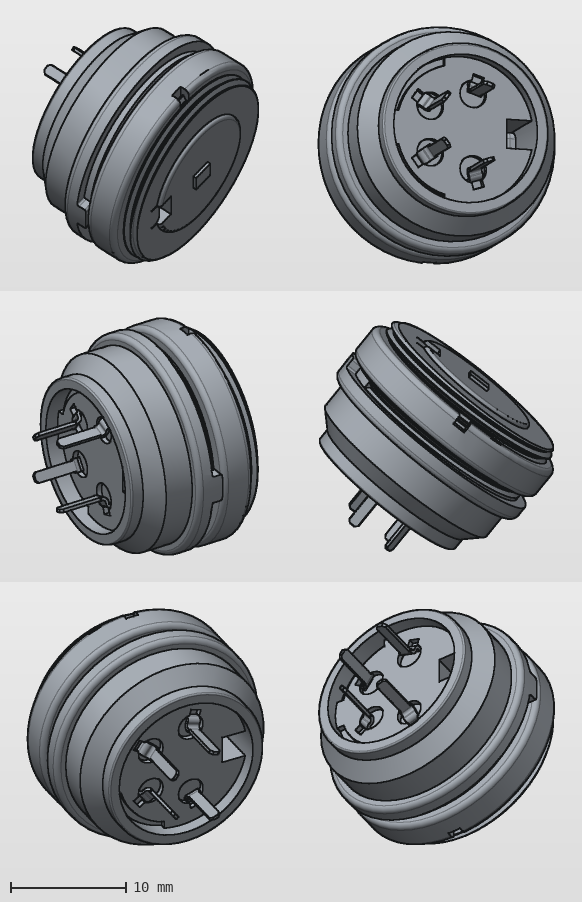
import cadquery as cq


collar_diameter = 15.1
collar_length = 1.2
rim_round = 0.15
body_diameter = 18.0
cone_length = (body_diameter - collar_diameter) / 2
flange_diameter = 20.0
flange_start = 5.3
flange_end = 6.8
flange_round = 0.5
housing_end = 12.3
end_chamfer = 0.35

cup_diameter = 13.1
cup_depth = 1.2
insert_nose_diameter = 11.7
insert_end = 12.65
insert_nose_round = 0.3

thread_pitch = 0.75
thread_depth = 0.5
groove_root_width = 0.12
groove_crest_width = 0.66
groove_start = 7.16
groove_start_angle = 208.5
groove_overrun = 0.15
thread_turns = 7

sleeve_overlap = 0.4
sleeve_bore = body_diameter - 2 * thread_depth - sleeve_overlap

nut_start = 7.85
nut_end = 10.9
nut_round = 0.5
nut_slot_width = 1.2
nut_slot_length = 0.9

tab_width = 2.6
tab_end = 7.8
tab_round = 0.2

keyway_width = 2.56
keyway_floor_radius = 4.16
key_width = 2.4
key_inner_radius = 5.4
key_start = 6.0
key_round = 0.6

recess_inner_radius = 5.9
recess_outer_radius = cup_diameter / 2
recess_offset = 1.5
recess_depth = 0.5

pin_angles = (36, 108, -108, -36)
pin_circle_radius = 3.5
pin_hole_diameter = 2.4
pin_hole_depth = 0.5
pin_width = 1.0
pin_thickness = 0.3
pin_tip = -3.45
pin_tip_chamfer = 0.25
pin_bend_width = 1.25
pin_bend_outer_radius = 4.5
pin_bend_inside_radius = 0.3
pin_crown_inside_radius = 0.15
pin_bend_lead = 0.1
pin_bend_start = 0.55
pin_slot_outer_radius = 5.2

pad_size_y = 2.0
pad_size_z = 1.66
pad_end = 12.95

hole_floor = cup_depth + pin_hole_depth


def cylinder(diameter, start, end):
    """Solid cylinder on the X axis."""
    return cq.Workplane("YZ").workplane(offset=start).circle(diameter / 2).extrude(end - start)


def block(x_range, y_range, z_range):
    """Box given by its limits along each axis."""
    sizes = [high - low for low, high in (x_range, y_range, z_range)]
    corner = (x_range[0], y_range[0], z_range[0])
    return cq.Workplane("XY").box(*sizes, centered=False).translate(corner)


def centered(width):
    """Limits of a width that is symmetric about zero."""
    return (-width / 2, width / 2)


def turn_about_axis(shape, angle):
    """Turn a shape about the X axis, from +Y toward +Z."""
    return shape.rotate((0, 0, 0), (1, 0, 0), angle)


def make_housing():
    collar_radius = collar_diameter / 2
    body_radius = body_diameter / 2
    outline = [
        (0, 0),
        (0, collar_radius),
        (collar_length, collar_radius),
        (collar_length + cone_length, body_radius),
        (housing_end - end_chamfer, body_radius),
        (housing_end, body_radius - end_chamfer),
        (housing_end, 0),
    ]
    housing = cq.Workplane("XY").polyline(outline).close().revolve(360, (0, 0), (1, 0))
    housing = housing.faces("<X").edges().fillet(rim_round)
    return housing.cut(cylinder(cup_diameter, 0, cup_depth))


def make_thread_groove():
    """Right-handed V groove that starts abruptly and runs out at the front end."""
    root_radius = body_diameter / 2 - thread_depth
    crest_radius = body_diameter / 2
    cutter_radius = crest_radius + groove_overrun
    flank_slope = (groove_crest_width - groove_root_width) / 2 / thread_depth
    cutter_half_width = groove_crest_width / 2 + groove_overrun * flank_slope
    root_half_width = groove_root_width / 2
    length = thread_turns * thread_pitch
    path = cq.Workplane(obj=cq.Wire.makeHelix(thread_pitch, length, root_radius))
    groove = (
        cq.Workplane("XZ")
        .polyline([
            (root_radius, -root_half_width),
            (cutter_radius, -cutter_half_width),
            (cutter_radius, cutter_half_width),
            (root_radius, root_half_width),
        ])
        .close()
        .sweep(path, isFrenet=True)
    )
    helix_rest_angle = 270
    groove = groove.rotate((0, 0, 0), (0, 1, 0), 90)
    groove = turn_about_axis(groove, groove_start_angle - helix_rest_angle)
    return groove.translate((groove_start, 0, 0))


def make_flange():
    flange = cylinder(flange_diameter, flange_start, flange_end).faces("<X").edges().fillet(flange_round)
    return flange.cut(cylinder(sleeve_bore, flange_start, flange_end))


def make_tab():
    """Tab on the -Y side, flared at the flange and rounded at its free end."""
    half = tab_width / 2
    tab = (
        cq.Workplane("XZ")
        .moveTo(flange_end, -half - tab_round)
        .radiusArc((flange_end + tab_round, -half), tab_round)
        .lineTo(tab_end - tab_round, -half)
        .radiusArc((tab_end, -half + tab_round), -tab_round)
        .lineTo(tab_end, half - tab_round)
        .radiusArc((tab_end - tab_round, half), -tab_round)
        .lineTo(flange_end + tab_round, half)
        .radiusArc((flange_end, half + tab_round), tab_round)
        .close()
        .extrude(flange_diameter / 2)
    )
    ring = cylinder(flange_diameter, flange_end, tab_end)
    ring = ring.cut(cylinder(sleeve_bore, flange_end, tab_end))
    return tab.intersect(ring)


def make_nut():
    """Ring nut that fills the thread below it, with two wrench slots open to the front."""
    nut = cylinder(flange_diameter, nut_start, nut_end).edges().fillet(nut_round)
    nut = nut.cut(cylinder(sleeve_bore, nut_start, nut_end))
    slots = block((nut_end - nut_slot_length, nut_end), centered(nut_slot_width), centered(flange_diameter))
    return nut.cut(slots)


def make_insert_nose():
    nose = cylinder(insert_nose_diameter, housing_end, insert_end)
    nose = nose.faces(">X").edges().fillet(insert_nose_round)
    pad = block((insert_end, pad_end), centered(pad_size_y), centered(pad_size_z))
    return nose.union(pad)


def make_keyway():
    outer = -cup_diameter / 2
    keyway = block((cup_depth, insert_end), (outer, -keyway_floor_radius), centered(keyway_width))
    return keyway.intersect(cylinder(cup_diameter, cup_depth, insert_end))


def make_key():
    wall = -cup_diameter / 2
    key = block((key_start, housing_end), (wall, -key_inner_radius), centered(key_width))
    return key.edges("(>Y and |X) or (<X and (not <Y))").fillet(key_round)


def make_recesses():
    recess_end = cup_depth + recess_depth
    ring = cylinder(2 * recess_outer_radius, cup_depth, recess_end)
    ring = ring.cut(cylinder(2 * recess_inner_radius, cup_depth, recess_end))
    side = (recess_offset, recess_outer_radius)
    quadrant = block((cup_depth, recess_end), side, side)
    return ring.intersect(quadrant.union(quadrant.mirror("XY")))


def make_pin_hole():
    """Hole for a pin on the +Y axis, with a slot that runs outward."""
    hole = cylinder(pin_hole_diameter, cup_depth, hole_floor).translate((0, pin_circle_radius, 0))
    slot = block((cup_depth, hole_floor), (pin_circle_radius, pin_slot_outer_radius), centered(pin_width))
    return hole.union(slot)


def make_pin():
    """Flat pin on the +Y axis; its wider root jogs outward in a double bend."""
    inner = pin_circle_radius - pin_thickness / 2
    outer = inner + pin_thickness
    blade = block((pin_tip, pin_bend_start), (inner, outer), centered(pin_width))
    blade = blade.faces("<X").edges("|Y").chamfer(pin_tip_chamfer)

    bend_outside_radius = pin_bend_inside_radius + pin_thickness
    crown_outside_radius = pin_crown_inside_radius + pin_thickness
    lead_end = pin_bend_start + pin_bend_lead
    web_front = lead_end + pin_bend_inside_radius
    web_back = web_front + pin_thickness
    crown_end = web_front + crown_outside_radius
    web_bottom = outer + pin_bend_inside_radius
    web_top = pin_bend_outer_radius - crown_outside_radius
    root = (
        cq.Workplane("XY")
        .moveTo(pin_bend_start, inner)
        .lineTo(pin_bend_start, outer)
        .lineTo(lead_end, outer)
        .radiusArc((web_front, web_bottom), -pin_bend_inside_radius)
        .lineTo(web_front, web_top)
        .radiusArc((crown_end, pin_bend_outer_radius), crown_outside_radius)
        .lineTo(hole_floor, pin_bend_outer_radius)
        .lineTo(hole_floor, pin_bend_outer_radius - pin_thickness)
        .lineTo(crown_end, pin_bend_outer_radius - pin_thickness)
        .radiusArc((web_back, web_top), -pin_crown_inside_radius)
        .lineTo(web_back, web_bottom)
        .radiusArc((lead_end, inner), bend_outside_radius)
        .close()
        .extrude(pin_bend_width / 2, both=True)
    )
    return blade.union(root)


result = make_housing().union(make_insert_nose())
result = result.cut(make_keyway()).union(make_key()).cut(make_recesses())
for pin_angle in pin_angles:
    result = result.cut(turn_about_axis(make_pin_hole(), pin_angle))
    result = result.union(turn_about_axis(make_pin(), pin_angle))
result = result.cut(make_thread_groove())
result = result.union(make_flange().union(make_tab())).union(make_nut())